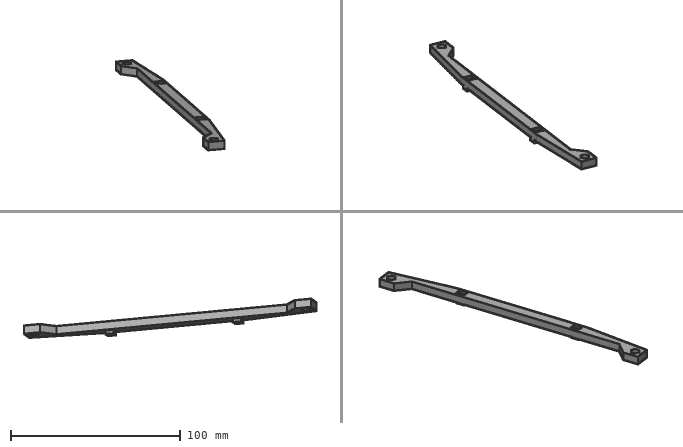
import cadquery as cq

length = 180.0
depth = 15.0
thickness = 5.0
end_height = 10.0
crown_half_length = 45.0
waist_width = 7.4

foot_width = 10.0
hole_diameter = 5.0
hole_inset = 5.0

peg_size = 5.0
peg_height = 2.0
peg_spacing = 80.0

half_length = length / 2
waist_y = depth - waist_width
foot_inner_x = half_length - foot_width
waist_end_x = foot_inner_x - waist_y
socket_y = depth - waist_width / 2
peg_y = depth - peg_size / 2


def at_both_ends(x, y):
    return [(-x, y), (x, y)]


right_half = [
    (waist_end_x, waist_y),
    (foot_inner_x, 0),
    (half_length, 0),
    (half_length, end_height),
    (crown_half_length, depth),
]
left_half = [(-x, y) for x, y in reversed(right_half)]
bar = cq.Workplane("XY").polyline(right_half + left_half).close().extrude(thickness)

holes = (
    cq.Workplane("XY")
    .pushPoints(at_both_ends(half_length - hole_inset, hole_inset))
    .circle(hole_diameter / 2)
    .extrude(thickness)
)

sockets = (
    cq.Workplane("XY", origin=(0, 0, thickness))
    .pushPoints(at_both_ends(peg_spacing / 2, socket_y))
    .rect(peg_size, peg_size)
    .extrude(-peg_height)
)

pegs = (
    cq.Workplane("XY")
    .pushPoints(at_both_ends(peg_spacing / 2, peg_y))
    .rect(peg_size, peg_size)
    .extrude(-peg_height)
)

result = bar.cut(holes).cut(sockets).union(pegs)